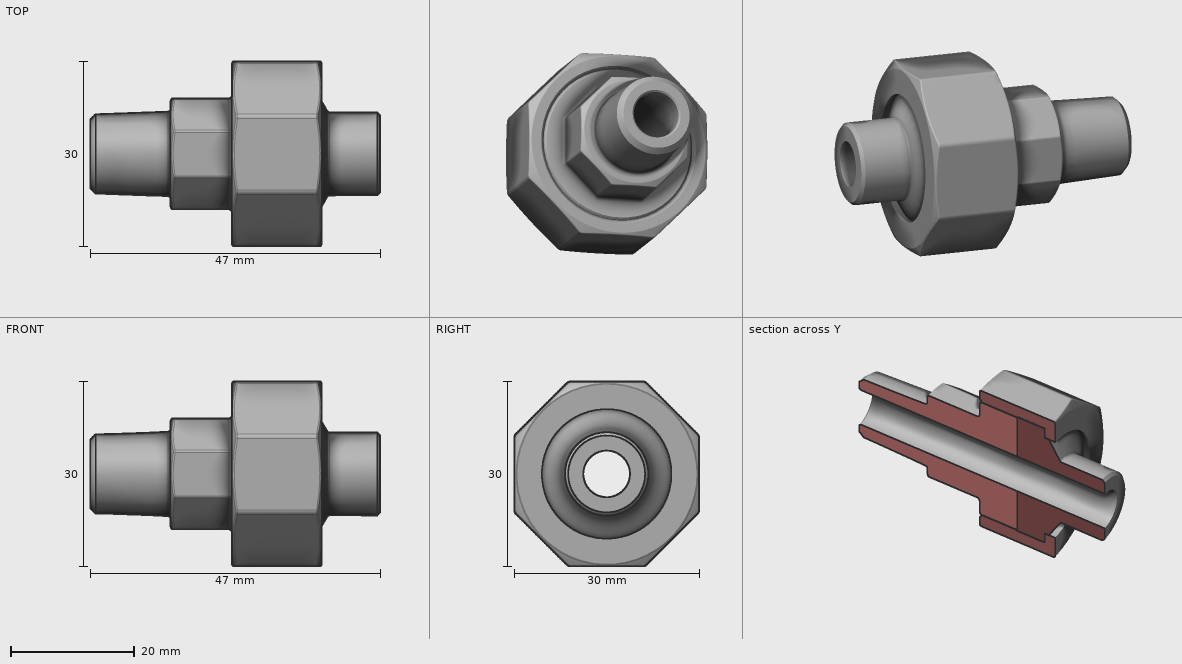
import cadquery as cq
import math


total_length = 47.0
grip_start = 13.0
nut_start = 23.0
nut_end = 37.5
joint_x = 30.25
lip_thickness = 2.0
lip_x = nut_end - lip_thickness

bore_radius = 7.5 / 2
bore_chamfer = 0.3

spigot_tip_radius = 6.45
spigot_root_radius = 6.85
spigot_tip_chamfer = 0.9
spigot_root_fillet = 0.4
grip_across_flats = 18.0
grip_corner_radius = 0.5
grip_face_diameter = 17.1
grip_root_fillet = 0.5

joint_radius = 25.0 / 2
nut_mouth_chamfer = 0.5
flange_chamfer = 0.38

nut_across_flats = 30.0
nut_corner_radius = 1.0
nut_face_diameter = 29.35

tail_radius = 13.5 / 2
tail_end_chamfer = 0.5
tail_neck_x = 38.55
tail_neck_fillet = 0.35
shoulder_radius = 21.0 / 2
shoulder_angle = 60.0

end_cone_angle = 25.0
end_edge_fillet = 0.3
octagon_sides = 8


def revolve_about_x(profile):
    """Close a half profile drawn in XY (x, radius) and spin it about the X axis."""
    return profile.close().revolve(360, (0, 0, 0), (1, 0, 0))


def revolve_points(points):
    return revolve_about_x(cq.Workplane("XY").polyline(points))


def octagon_bar(x_start, x_end, across_flats, corner_radius):
    """Octagonal prism along X with flats facing +-Y and +-Z and rounded corners."""
    bar = (
        cq.Workplane("YZ", origin=(x_start, 0, 0))
        .polygon(octagon_sides, across_flats, circumscribed=True)
        .extrude(x_end - x_start)
    )
    return bar.edges("|X").fillet(corner_radius)


def coned_blank(x_start, x_end, across_flats, face_diameter, cone_both_ends):
    """Round blank enclosing the octagon, coned down to the face diameter at its ends."""
    face_radius = face_diameter / 2
    outer_radius = across_flats / 2 / math.cos(math.pi / octagon_sides)
    cone_depth = (outer_radius - face_radius) * math.tan(math.radians(end_cone_angle))
    points = [(x_start, 0), (x_start, face_radius), (x_start + cone_depth, outer_radius)]
    if cone_both_ends:
        points += [(x_end - cone_depth, outer_radius), (x_end, face_radius)]
    else:
        points += [(x_end, outer_radius)]
    points += [(x_end, 0)]
    return revolve_points(points)


def coned_octagon(x_start, x_end, across_flats, corner_radius, face_diameter, cone_both_ends):
    """Octagonal bar whose corners are coned off at the ends, with the cone edges rounded."""
    bar = octagon_bar(x_start, x_end, across_flats, corner_radius)
    blank = coned_blank(x_start, x_end, across_flats, face_diameter, cone_both_ends)
    return bar.intersect(blank).faces("%CONE").edges().fillet(end_edge_fillet)


def make_bore_cutter():
    """Through bore with a chamfered mouth at the threaded end."""
    return revolve_points([
        (0, 0),
        (0, bore_radius + bore_chamfer),
        (bore_chamfer, bore_radius),
        (total_length, bore_radius),
        (total_length, 0),
    ])


def make_spigot():
    """Tapered spigot with a chamfered tip and a concave root fillet against the grip."""
    taper_end = grip_start - spigot_root_fillet
    arc_offset = spigot_root_fillet * math.sin(math.radians(45))
    arc_end = (grip_start, spigot_root_radius + spigot_root_fillet)
    arc_middle = (taper_end + arc_offset, arc_end[1] - arc_offset)
    profile = (
        cq.Workplane("XY")
        .lineTo(0, spigot_tip_radius - spigot_tip_chamfer)
        .lineTo(spigot_tip_chamfer, spigot_tip_radius)
        .lineTo(taper_end, spigot_root_radius)
        .threePointArc(arc_middle, arc_end)
        .lineTo(grip_start, 0)
    )
    return revolve_about_x(profile)


def make_flange():
    """Round flange that fills the open end of the nut."""
    return revolve_points([
        (nut_start, 0),
        (nut_start, joint_radius - flange_chamfer),
        (nut_start + flange_chamfer, joint_radius),
        (joint_x, joint_radius),
        (joint_x, 0),
    ])


def make_male_end():
    """Spigot, octagonal grip and flange in one piece, bored through."""
    grip = coned_octagon(
        grip_start, nut_start, grip_across_flats, grip_corner_radius, grip_face_diameter,
        cone_both_ends=False,
    )
    body = make_flange().union(grip)
    flange_face = body.faces("|X").faces("<X[1]").val()
    grip_root_edges = body.newObject(flange_face.innerWires()).edges()
    body = grip_root_edges.fillet(grip_root_fillet)
    return body.union(make_spigot()).cut(make_bore_cutter())


def make_nut():
    """Octagonal nut with a chamfered mouth, a straight cavity and an inward lip."""
    body = coned_octagon(
        nut_start, nut_end, nut_across_flats, nut_corner_radius, nut_face_diameter,
        cone_both_ends=True,
    )
    cavity = revolve_points([
        (nut_start, 0),
        (nut_start, joint_radius + nut_mouth_chamfer),
        (nut_start + nut_mouth_chamfer, joint_radius),
        (lip_x, joint_radius),
        (lip_x, shoulder_radius),
        (nut_end, shoulder_radius),
        (nut_end, 0),
    ])
    return body.cut(cavity)


def make_tail_piece():
    """Head held behind the nut lip, a coned shoulder and a plain tail, bored through."""
    cone_length = (shoulder_radius - tail_radius) / math.tan(math.radians(shoulder_angle))
    body = revolve_points([
        (joint_x, 0),
        (joint_x, joint_radius),
        (lip_x, joint_radius),
        (lip_x, shoulder_radius),
        (tail_neck_x - cone_length, shoulder_radius),
        (tail_neck_x, tail_radius),
        (total_length, tail_radius),
        (total_length, 0),
    ])
    body = body.faces("%CONE").edges(">X").fillet(tail_neck_fillet)
    body = body.faces(">X").edges().chamfer(tail_end_chamfer)
    return body.cut(make_bore_cutter())


male_end = make_male_end()
nut = make_nut()
tail_piece = make_tail_piece()

result = cq.Compound.makeCompound([male_end.val(), nut.val(), tail_piece.val()])